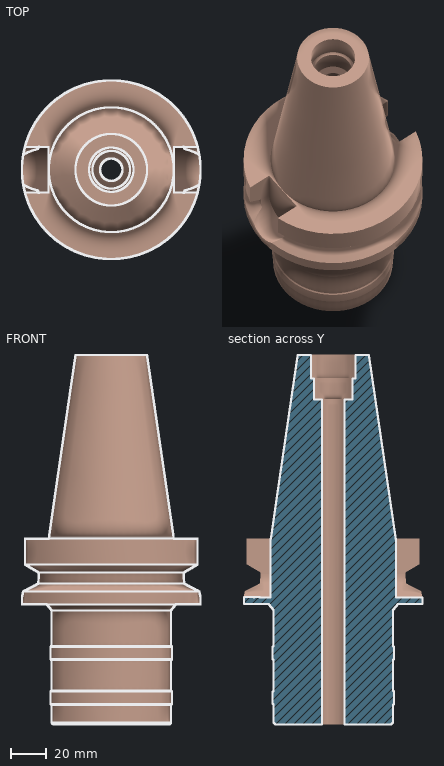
import cadquery as cq

total_height = 206.8
taper_base_height = 105.0
flange_top = 104.0
flange_bottom = 67.2
vee_upper_edge = 89.5
vee_lower_edge = 74.5
vee_floor_top = 85.0
vee_floor_bottom = 78.8
collar_bottom = 64.0

taper_tip_radius = 20.0
taper_base_radius = 35.0
flange_radius = 50.0
vee_floor_radius = 42.5
collar_radius = 36.2
body_radius = 33.5
end_chamfer = 1.0

band_radius = 34.1
band_height = 8.0
band_chamfer = band_radius - body_radius
band_bottoms = (11.0, 36.0)

mouth_radius = 12.5
mouth_depth = 13.0
throat_radius = 10.5
throat_depth = 24.8
through_radius = 6.2

slot_width = 25.6
slot_bottom = 71.3
slot_floor_x = 35.2
slot_radius = slot_width / 2
slot_arc_height = slot_bottom + slot_radius


def turned_body():
    """Taper, grooved flange and plain body revolved around Z."""
    outline = [
        (0, 0),
        (body_radius - end_chamfer, 0),
        (body_radius, end_chamfer),
        (body_radius, collar_bottom),
        (collar_radius, flange_bottom),
        (flange_radius, flange_bottom),
        (flange_radius, vee_lower_edge),
        (vee_floor_radius, vee_floor_bottom),
        (vee_floor_radius, vee_floor_top),
        (flange_radius, vee_upper_edge),
        (flange_radius, flange_top),
        (taper_base_radius, flange_top),
        (taper_base_radius, taper_base_height),
        (taper_tip_radius, total_height),
        (0, total_height),
    ]
    return cq.Workplane("XZ").polyline(outline).close().revolve(360, (0, 0), (0, 1))


def raised_band(bottom):
    """Shallow band with chamfered edges that blend into the body."""
    band = cq.Workplane("XY").workplane(offset=bottom).circle(band_radius).extrude(band_height)
    return band.edges().chamfer(band_chamfer)


def bore_step(radius, depth):
    """Cylinder reaching down from the tip of the taper."""
    return cq.Workplane("XY").workplane(offset=total_height - depth).circle(radius).extrude(depth)


def drive_slot(side):
    """Round-bottomed slot cutter, open at the flange rim and flange top; side is +1 or -1."""
    return (
        cq.Workplane("YZ")
        .workplane(offset=side * slot_floor_x)
        .moveTo(-slot_radius, flange_top)
        .lineTo(-slot_radius, slot_arc_height)
        .threePointArc((0, slot_bottom), (slot_radius, slot_arc_height))
        .lineTo(slot_radius, flange_top)
        .close()
        .extrude(side * (flange_radius - slot_floor_x))
    )


result = turned_body()
for bottom in band_bottoms:
    result = result.union(raised_band(bottom))

for side in (-1, 1):
    result = result.cut(drive_slot(side))

result = result.cut(bore_step(mouth_radius, mouth_depth))
result = result.cut(bore_step(throat_radius, throat_depth))
result = result.cut(bore_step(through_radius, total_height))